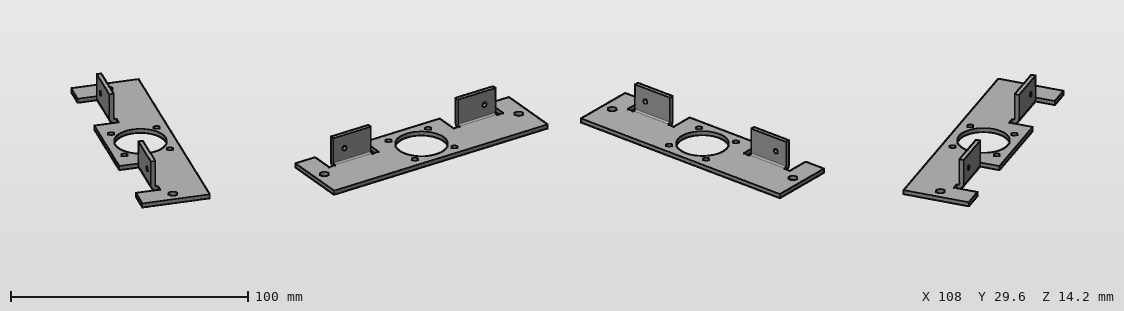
import cadquery as cq

THICKNESS = 2.0
PLATE_LENGTH = 108.0
PLATE_WIDTH = 29.6
TOTAL_HEIGHT = 14.25

NOTCH_WIDTH = 25.0
NOTCH_DEPTH = 10.7
END_ARM_WIDTH = 10.0
NOTCH_CENTER_X = PLATE_LENGTH / 2 - END_ARM_WIDTH - NOTCH_WIDTH / 2

TAB_WIDTH = 19.0
BEND_INNER_RADIUS = 0.75
BEND_OUTER_RADIUS = BEND_INNER_RADIUS + THICKNESS
BEND_OFFSET = 0.5
TAB_HOLE_DIAMETER = 2.1
TAB_HOLE_OUTWARD_OFFSET = 3.9
TAB_HOLE_HEIGHT = 7.9

CENTER_BORE_DIAMETER = 22.2
SCREW_HOLE_DIAMETER = 2.7
SCREW_HOLE_SPACING = 20.0
MOUNTING_HOLE_DIAMETER = 3.8
MOUNTING_HOLE_EDGE_DISTANCE = 4.9

FRONT_EDGE_Y = -PLATE_WIDTH / 2
NOTCH_FLOOR_Y = FRONT_EDGE_Y + NOTCH_DEPTH
SIDES = (-1, 1)


def make_plate():
    """Flat plate with its underside at Z = 0 and two notches in the front edge."""
    plate = cq.Workplane("XY").box(PLATE_LENGTH, PLATE_WIDTH, THICKNESS, centered=(True, True, False))
    for side in SIDES:
        notch = (
            cq.Workplane("XY")
            .center(side * NOTCH_CENTER_X, FRONT_EDGE_Y + NOTCH_DEPTH / 2)
            .rect(NOTCH_WIDTH, NOTCH_DEPTH)
            .extrude(THICKNESS)
        )
        plate = plate.cut(notch)
    return plate


def cut_plate_holes(plate):
    """Central bore, four screw holes around it and a mounting hole at each end."""
    mounting_hole_spacing = PLATE_LENGTH - 2 * MOUNTING_HOLE_EDGE_DISTANCE
    bore = cq.Workplane("XY").circle(CENTER_BORE_DIAMETER / 2).extrude(THICKNESS)
    screw_holes = (
        cq.Workplane("XY")
        .rect(SCREW_HOLE_SPACING, SCREW_HOLE_SPACING, forConstruction=True)
        .vertices()
        .circle(SCREW_HOLE_DIAMETER / 2)
        .extrude(THICKNESS)
    )
    mounting_holes = (
        cq.Workplane("XY")
        .rarray(mounting_hole_spacing, 1, 2, 1)
        .circle(MOUNTING_HOLE_DIAMETER / 2)
        .extrude(THICKNESS)
    )
    return plate.cut(bore).cut(screw_holes).cut(mounting_holes)


def make_tab(side):
    """L-shaped tab: short flat, 90 degree bend and an upright leg with one hole."""
    bend_start_y = NOTCH_FLOOR_Y - BEND_OFFSET
    inner_face_y = bend_start_y - BEND_INNER_RADIUS
    outer_face_y = bend_start_y - BEND_OUTER_RADIUS
    center_x = side * NOTCH_CENTER_X

    tab = (
        cq.Workplane("YZ", origin=(center_x, 0, 0))
        .moveTo(NOTCH_FLOOR_Y, 0)
        .lineTo(bend_start_y, 0)
        .tangentArcPoint((outer_face_y, BEND_OUTER_RADIUS), relative=False)
        .lineTo(outer_face_y, TOTAL_HEIGHT)
        .lineTo(inner_face_y, TOTAL_HEIGHT)
        .lineTo(inner_face_y, BEND_OUTER_RADIUS)
        .tangentArcPoint((bend_start_y, THICKNESS), relative=False)
        .lineTo(NOTCH_FLOOR_Y, THICKNESS)
        .close()
        .extrude(TAB_WIDTH / 2, both=True)
    )
    hole_x = center_x + side * TAB_HOLE_OUTWARD_OFFSET
    hole = (
        cq.Workplane("XZ", origin=(hole_x, inner_face_y, TAB_HOLE_HEIGHT))
        .circle(TAB_HOLE_DIAMETER / 2)
        .extrude(THICKNESS)
    )
    return tab.cut(hole)


result = cut_plate_holes(make_plate())
for tab_side in SIDES:
    result = result.union(make_tab(tab_side))
result = result.clean()